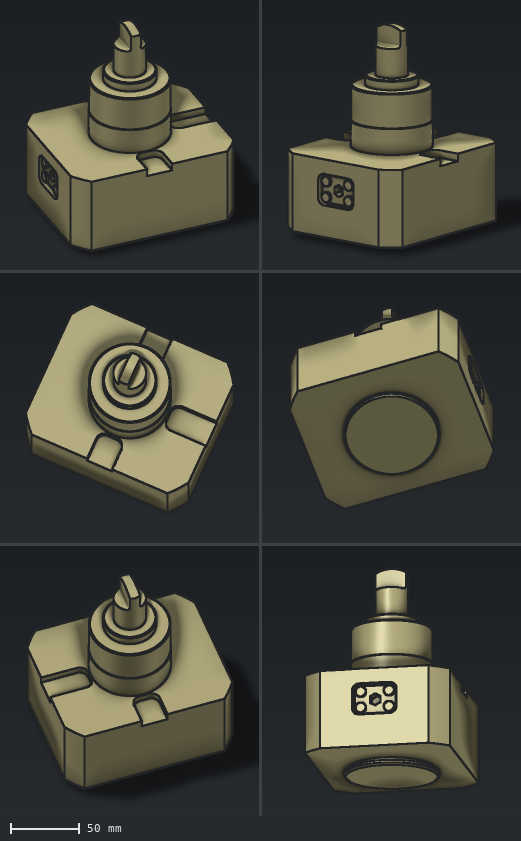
import cadquery as cq
import math

body_x = 108.0
body_y = 130.0
body_bottom = 6.5
body_top = 65.0
corner_trim_radius = 76.5

neck_diameter = 62.0
flange_diameter = 70.0
flange_face_diameter = 67.4
flange_top = 3.5
flange_bevel_height = 1.5

lower_drum_diameter = 60.0
upper_drum_diameter = 59.6
drum_split = 84.9
split_bevel_height = 0.5
drum_top = 110.9
collar_diameter = 39.0
collar_top = 118.1
edge_chamfer = 0.8
shaft_diameter = 23.9

tang_thickness = 8.0
tang_floor = 140.1
tang_root_radius = 2.5
crown_radius = 23.9
total_height = 156.0

slot_width = 20.0
slot_depth = 5.6
slot_corner_radius = 6.5
slot_end_distance = 30.9

pocket_width = 33.4
pocket_height = 23.5
pocket_z = 42.3
pocket_depth = 5.5
plate_depth = 3.3
pocket_corner_radius = 6.1
plate_gap = 1.5
screw_diameter = 7.6
screw_spacing_x = 21.0
screw_spacing_z = 12.0
screw_head_height = 1.9
hex_across_flats = 7.8
hex_depth = 7.8


def disc(diameter, bottom, top):
    """Round section of the spindle between two heights."""
    return cq.Workplane("XY", origin=(0, 0, bottom)).circle(diameter / 2).extrude(top - bottom)


def make_body():
    height = body_top - body_bottom
    block = cq.Workplane("XY", origin=(0, 0, body_bottom)).rect(body_x, body_y).extrude(height)
    return block.intersect(disc(2 * corner_trim_radius, body_bottom, body_top))


def key_slot(angle, outer_distance):
    """Slot running from beside the spindle out through one side of the body."""
    length = outer_distance - slot_end_distance
    slot = (
        cq.Workplane("XY", origin=(slot_end_distance + length / 2, 0, body_top - slot_depth))
        .rect(length, slot_width)
        .extrude(slot_depth)
        .edges("|Z and <X")
        .fillet(slot_corner_radius)
    )
    return slot.rotate((0, 0, 0), (0, 0, 1), angle)


def make_flange():
    bevel = (flange_diameter - flange_face_diameter) / 2
    rim = disc(flange_diameter, 0, flange_top).faces("<Z").chamfer(flange_bevel_height, bevel)
    return rim.union(disc(neck_diameter, flange_top, body_bottom))


def make_shaft():
    shaft = disc(shaft_diameter, collar_top, total_height)
    crown = (
        cq.Workplane("XZ", origin=(0, 0, total_height - crown_radius))
        .circle(crown_radius)
        .extrude(shaft_diameter / 2, both=True)
    )
    below_crown = disc(shaft_diameter, collar_top, total_height - crown_radius)
    shaft = shaft.intersect(crown.union(below_crown))

    cut_width = shaft_diameter
    for side in (-1, 1):
        center_y = side * (tang_thickness + cut_width) / 2
        inner_edge = "|X and <Z and " + ("<Y" if side > 0 else ">Y")
        cutter = (
            cq.Workplane("XY", origin=(0, center_y, tang_floor))
            .rect(2 * shaft_diameter, cut_width)
            .extrude(total_height - tang_floor)
            .edges(inner_edge)
            .fillet(tang_root_radius)
        )
        shaft = shaft.cut(cutter)
    return shaft


def make_spindle():
    split_bevel = (lower_drum_diameter - upper_drum_diameter) / 2
    lower_drum = disc(lower_drum_diameter, body_top, drum_split)
    lower_drum = lower_drum.faces(">Z").chamfer(split_bevel_height, split_bevel)
    upper_drum = disc(upper_drum_diameter, drum_split, drum_top).faces(">Z").chamfer(edge_chamfer)
    collar = disc(collar_diameter, drum_top, collar_top).faces(">Z").chamfer(edge_chamfer)
    return lower_drum.union(upper_drum).union(collar).union(make_shaft())


def front_plane(depth):
    """Plane behind the front face by depth, facing outward and centred on the pocket."""
    return cq.Workplane("XZ", origin=(0, depth - body_y / 2, pocket_z))


def rounded_block(depth, length, inset):
    """Rounded rectangle following the pocket outline, extruded outward from depth."""
    return (
        front_plane(depth)
        .rect(pocket_width - 2 * inset, pocket_height - 2 * inset)
        .extrude(length)
        .edges("|Y")
        .fillet(pocket_corner_radius - inset)
    )


def cut_screw_pocket(part):
    pocket = rounded_block(pocket_depth, pocket_depth, 0)
    plate = rounded_block(pocket_depth, pocket_depth - plate_depth, plate_gap)
    screws = (
        front_plane(plate_depth)
        .rarray(screw_spacing_x, screw_spacing_z, 2, 2)
        .circle(screw_diameter / 2)
        .extrude(screw_head_height)
    )
    hex_socket = (
        front_plane(plate_depth + hex_depth)
        .transformed(rotate=(0, 0, 90))
        .polygon(6, hex_across_flats / math.cos(math.pi / 6))
        .extrude(hex_depth)
    )
    return part.cut(pocket).union(plate).union(screws).cut(hex_socket)


body = make_body()
for slot_angle, outer_distance in ((0, body_x / 2), (90, body_y / 2), (180, body_x / 2)):
    body = body.cut(key_slot(slot_angle, outer_distance))
body = cut_screw_pocket(body)

result = body.union(make_flange()).union(make_spindle())